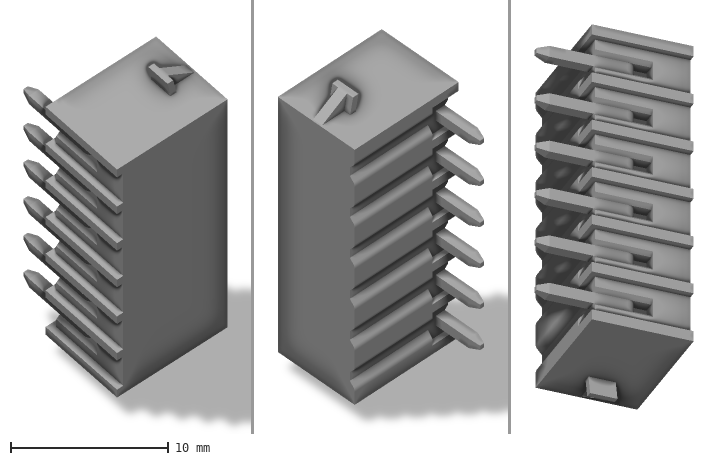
import cadquery as cq
import math


PIN_COUNT = 6
PITCH = 3.5
WIDTH = 7.0
DEPTH = 9.2
HEIGHT = 21.8
RIB_THICKNESS = 0.7
RIB_PROJECTION = 0.51

RECESS_DEPTH = 0.45
RECESS_LENGTH = 2.3
GROOVE_MOUTH = 2.05
GROOVE_FLOOR = 0.74
GROOVE_EDGE_RADIUS = 0.45
GROOVE_FLANK_ANGLE = math.radians(42)

PIN_SIZE = 0.8
PIN_FRONT = 0.8
PIN_PROJECTION = 3.38
PIN_LEG_RIGHT = 3.4
BEND_RADIUS = 0.6
TIP_LENGTH = 0.8
TIP_SIZE = 0.37

SLOT_END = 4.43
SLOT_MOUTH = 1.35

OVERALL_HEIGHT = 24.5
LATCH_WIDTH = 1.89
LATCH_RIB_WIDTH = 0.8
LATCH_FOOT_HEIGHT = 0.2
LATCH_FOOT_FRONT = 6.62
LATCH_BACK_AT_BASE = 7.13
LATCH_LEAN = 0.2
LATCH_TOP_BACK = 6.71
LATCH_RIB_END = 9.1
LATCH_ARC_RADIUS = 0.56
LATCH_SLOPE_ANGLE = math.radians(31)

pin_back = PIN_FRONT + PIN_SIZE
pin_leg_left = PIN_LEG_RIGHT - PIN_SIZE
position_heights = [(i - (PIN_COUNT - 1) / 2) * PITCH for i in range(PIN_COUNT)]
recess_height = PITCH - RIB_THICKNESS
latch_height = (OVERALL_HEIGHT - HEIGHT) / 2


def block(x0, x1, y0, y1, z_center, z_size):
    """Box between the given X and Y limits, centred on z_center."""
    return (
        cq.Workplane("XY", origin=(0, 0, z_center - z_size / 2))
        .moveTo(x0, y0)
        .lineTo(x1, y0)
        .lineTo(x1, y1)
        .lineTo(x0, y1)
        .close()
        .extrude(z_size)
    )


def side_groove(z_center):
    """V-groove with a flat floor and rounded edges, running along Y behind the recess."""
    half_mouth = GROOVE_MOUTH / 2
    half_floor = GROOVE_FLOOR / 2
    arc_x = GROOVE_EDGE_RADIUS * (1 - math.cos(GROOVE_FLANK_ANGLE))
    arc_z = half_mouth - GROOVE_EDGE_RADIUS * math.sin(GROOVE_FLANK_ANGLE)
    return (
        cq.Workplane("XZ", origin=(0, RECESS_LENGTH, z_center))
        .moveTo(0, half_mouth)
        .radiusArc((arc_x, arc_z), -GROOVE_EDGE_RADIUS)
        .lineTo(RECESS_DEPTH, half_floor)
        .lineTo(RECESS_DEPTH, -half_floor)
        .lineTo(arc_x, -arc_z)
        .radiusArc((0, -half_mouth), -GROOVE_EDGE_RADIUS)
        .close()
        .extrude(RECESS_LENGTH - DEPTH)
    )


def pin_slot(z_center):
    """Channel for the pin, widening towards the board side, plus the hole for its leg."""
    channel = block(0, SLOT_END, PIN_FRONT, pin_back, z_center, PIN_SIZE)
    leg_hole = block(pin_leg_left, PIN_LEG_RIGHT, pin_back, DEPTH, z_center, PIN_SIZE)
    mouth = (
        cq.Workplane("YZ", origin=(0, 0, z_center))
        .moveTo(RIB_PROJECTION, SLOT_MOUTH / 2)
        .lineTo(PIN_FRONT, PIN_SIZE / 2)
        .lineTo(PIN_FRONT, -PIN_SIZE / 2)
        .lineTo(RIB_PROJECTION, -SLOT_MOUTH / 2)
        .close()
        .extrude(SLOT_END)
    )
    return channel.union(leg_hole).union(mouth)


def latch():
    """Ramped catch on the top end: a leaning plate braced by a sloping rib."""
    top_front_y = LATCH_FOOT_FRONT - LATCH_LEAN * (latch_height - LATCH_FOOT_HEIGHT)
    plate_back_y = LATCH_BACK_AT_BASE - LATCH_LEAN * latch_height
    arc_end_y = LATCH_TOP_BACK + LATCH_ARC_RADIUS * math.sin(LATCH_SLOPE_ANGLE)
    arc_end_z = latch_height - LATCH_ARC_RADIUS * (1 - math.cos(LATCH_SLOPE_ANGLE))

    def side_profile(width):
        """Full ramp outline extruded to the given width, centred on the housing."""
        return (
            cq.Workplane("YZ", origin=((WIDTH - width) / 2, 0, HEIGHT / 2))
            .moveTo(LATCH_FOOT_FRONT, 0)
            .lineTo(LATCH_FOOT_FRONT, LATCH_FOOT_HEIGHT)
            .lineTo(top_front_y, latch_height)
            .lineTo(LATCH_TOP_BACK, latch_height)
            .radiusArc((arc_end_y, arc_end_z), LATCH_ARC_RADIUS)
            .lineTo(LATCH_RIB_END, 0)
            .close()
            .extrude(width)
        )

    plate_limit = (
        cq.Workplane("YZ", origin=(0, 0, HEIGHT / 2))
        .moveTo(0, 0)
        .lineTo(LATCH_BACK_AT_BASE, 0)
        .lineTo(plate_back_y, latch_height)
        .lineTo(0, latch_height)
        .close()
        .extrude(WIDTH)
    )
    plate = side_profile(LATCH_WIDTH).intersect(plate_limit)
    return plate.union(side_profile(LATCH_RIB_WIDTH))


def make_housing():
    """Block with ribs between recessed pin positions and a latch on each end."""
    body = block(0, WIDTH, 0, DEPTH, 0, HEIGHT)
    for z in position_heights:
        body = body.cut(block(0, WIDTH, 0, RIB_PROJECTION, z, recess_height))
        body = body.cut(block(0, RECESS_DEPTH, 0, RECESS_LENGTH, z, recess_height))
        body = body.cut(side_groove(z))
        body = body.cut(pin_slot(z))
    top_latch = latch()
    return body.union(top_latch).union(top_latch.mirror("XY"))


def make_pin(z_center):
    """Right-angle square pin: a tapered tail towards -X and a leg towards +Y."""
    shoulder_x = TIP_LENGTH - PIN_PROJECTION
    bent_bar = (
        cq.Workplane("XY", origin=(0, 0, z_center - PIN_SIZE / 2))
        .moveTo(shoulder_x, PIN_FRONT)
        .lineTo(PIN_LEG_RIGHT - BEND_RADIUS, PIN_FRONT)
        .radiusArc((PIN_LEG_RIGHT, PIN_FRONT + BEND_RADIUS), -BEND_RADIUS)
        .lineTo(PIN_LEG_RIGHT, DEPTH)
        .lineTo(pin_leg_left, DEPTH)
        .lineTo(pin_leg_left, pin_back)
        .lineTo(shoulder_x, pin_back)
        .close()
        .extrude(PIN_SIZE)
    )
    tip = (
        cq.Workplane("YZ", origin=(shoulder_x, PIN_FRONT + PIN_SIZE / 2, z_center))
        .rect(PIN_SIZE, PIN_SIZE)
        .workplane(offset=-TIP_LENGTH)
        .rect(TIP_SIZE, TIP_SIZE)
        .loft()
    )
    return bent_bar.union(tip)


housing = make_housing()
pins = [make_pin(z) for z in position_heights]

result = cq.Compound.makeCompound([housing.val(), *[pin.val() for pin in pins]])